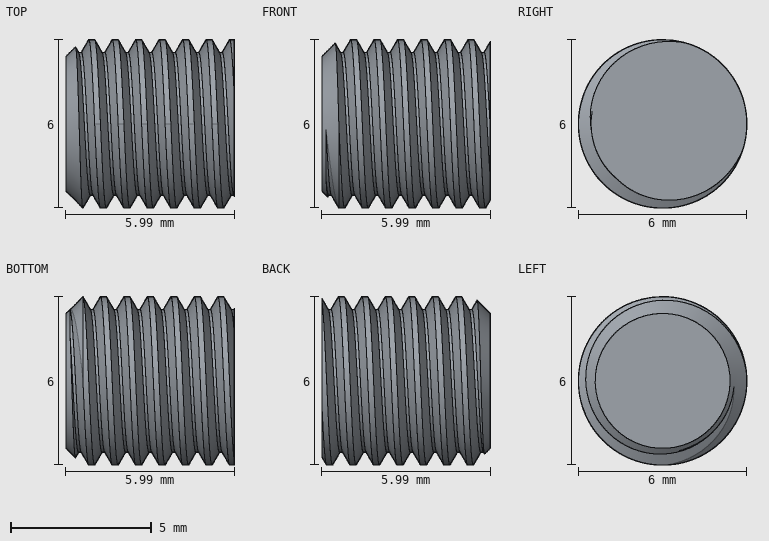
import cadquery as cq
import math

major_diameter = 6.0
root_diameter = 5.09
length = 5.99
chamfer = 0.6

pitch = 0.835
root_flat = pitch / 8
flank_angle = math.radians(30)
groove_phase = 0.29
crest_overrun = 0.05
end_turns = 2

major_radius = major_diameter / 2
root_radius = root_diameter / 2


def make_blank():
    """Plain cylinder with one chamfered end, revolved about X from the +Z side."""
    return (
        cq.Workplane("XZ")
        .polyline([
            (0, 0),
            (0, major_radius - chamfer),
            (chamfer, major_radius),
            (length, major_radius),
            (length, 0),
        ])
        .close()
        .revolve(360, (0, 0), (1, 0))
    )


def make_groove_cutter():
    """Helical solid bounded by four ruled strips, running past both ends of the blank."""
    start = groove_phase - end_turns * pitch
    turns = math.ceil((length - start) / pitch) + 1
    helix_length = turns * pitch

    outer_radius = major_radius + crest_overrun
    root_half = root_flat / 2
    outer_half = root_half + (outer_radius - root_radius) * math.tan(flank_angle)
    corners = [
        (root_radius, -root_half),
        (outer_radius, -outer_half),
        (outer_radius, outer_half),
        (root_radius, root_half),
    ]

    edges = [
        cq.Wire.makeHelix(pitch, helix_length, radius).translate(cq.Vector(0, 0, offset))
        for radius, offset in corners
    ]
    faces = [
        cq.Face.makeRuledSurface(edge, following)
        for edge, following in zip(edges, edges[1:] + edges[:1])
    ]
    for height in (0, helix_length):
        points = [cq.Vector(radius, 0, height + offset) for radius, offset in corners]
        faces.append(cq.Face.makeFromWires(cq.Wire.makePolygon(points, close=True)))
    cutter = cq.Solid.makeSolid(cq.Shell.makeShell(faces)).fix()

    return cutter.rotate((0, 0, 0), (0, 1, 0), 90).translate(cq.Vector(start, 0, 0))


result = make_blank().cut(cq.Workplane(obj=make_groove_cutter()))